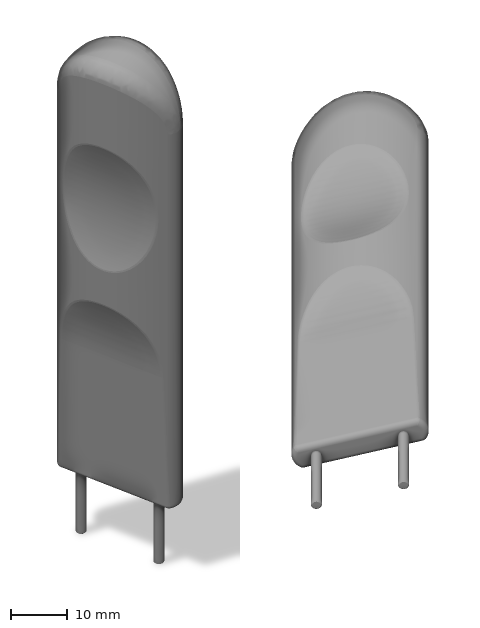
import cadquery as cq
import math

body_width = 25.0
body_thickness = 12.1
side_half_thickness = 1.5
body_height = 100.0
edge_radius = 3.0
bottom_radius = 1.0

scoop_radius = 40.0
scoop_half_thickness = 3.5
scoop_center_z = 68.0
grip_rim_radius = 0.9

flat_top_z = 31.0
flat_top_half_thickness = 3.0
flat_bottom_half_thickness = 2.4

pin_diameter = 2.0
pin_spacing = 16.0
pin_length = 15.0
pin_tip_chamfer = 0.2
pin_embed = 4.6

half_width = body_width / 2
half_thickness = body_thickness / 2
arch_base_z = body_height - half_width


def make_body():
    section = (
        cq.Workplane("XY")
        .moveTo(-half_width, side_half_thickness)
        .threePointArc((0, half_thickness), (half_width, side_half_thickness))
        .lineTo(half_width, -side_half_thickness)
        .threePointArc((0, -half_thickness), (-half_width, -side_half_thickness))
        .close()
        .extrude(body_height)
    )
    arch = (
        cq.Workplane("XZ")
        .moveTo(-half_width, 0)
        .lineTo(-half_width, arch_base_z)
        .threePointArc((0, body_height), (half_width, arch_base_z))
        .lineTo(half_width, 0)
        .close()
        .extrude(body_thickness, both=True)
    )
    body = section.intersect(arch)
    return body.edges("%BSPLINE or |Z").fillet(edge_radius)


def make_scoop():
    """Cylinder across X that hollows the +Y face."""
    return (
        cq.Workplane("YZ")
        .center(scoop_half_thickness + scoop_radius, scoop_center_z)
        .circle(scoop_radius)
        .extrude(body_width, both=True)
    )


def make_lower_grip():
    """Tapered flat that curves outward, tangentially, above flat_top_z."""
    taper = math.atan2(flat_top_half_thickness - flat_bottom_half_thickness, flat_top_z)
    center_y = flat_top_half_thickness + scoop_radius * math.cos(taper)
    center_z = flat_top_z - scoop_radius * math.sin(taper)
    outer_y = body_thickness

    def point_on_arc(y):
        return (y, center_z + math.sqrt(scoop_radius**2 - (center_y - y) ** 2))

    return (
        cq.Workplane("YZ")
        .moveTo(flat_bottom_half_thickness, 0)
        .lineTo(flat_top_half_thickness, flat_top_z)
        .threePointArc(point_on_arc(half_thickness), point_on_arc(outer_y))
        .lineTo(outer_y, 0)
        .close()
        .extrude(body_width, both=True)
    )


def make_pins():
    return (
        cq.Workplane("XY")
        .workplane(offset=-pin_length)
        .pushPoints([(-pin_spacing / 2, 0), (pin_spacing / 2, 0)])
        .circle(pin_diameter / 2)
        .extrude(pin_length + pin_embed)
        .faces("<Z")
        .chamfer(pin_tip_chamfer)
    )


body = make_body()
for cutter in (make_scoop(), make_lower_grip()):
    body = body.cut(cutter).cut(cutter.mirror("XZ"))

rim_edges = [
    edge
    for edge in body.edges("%BSPLINE").vals()
    if edge.BoundingBox().zmax < arch_base_z
]
body = body.newObject(rim_edges).fillet(grip_rim_radius)

body = body.faces("<Z").edges().fillet(bottom_radius)

result = body.union(make_pins())